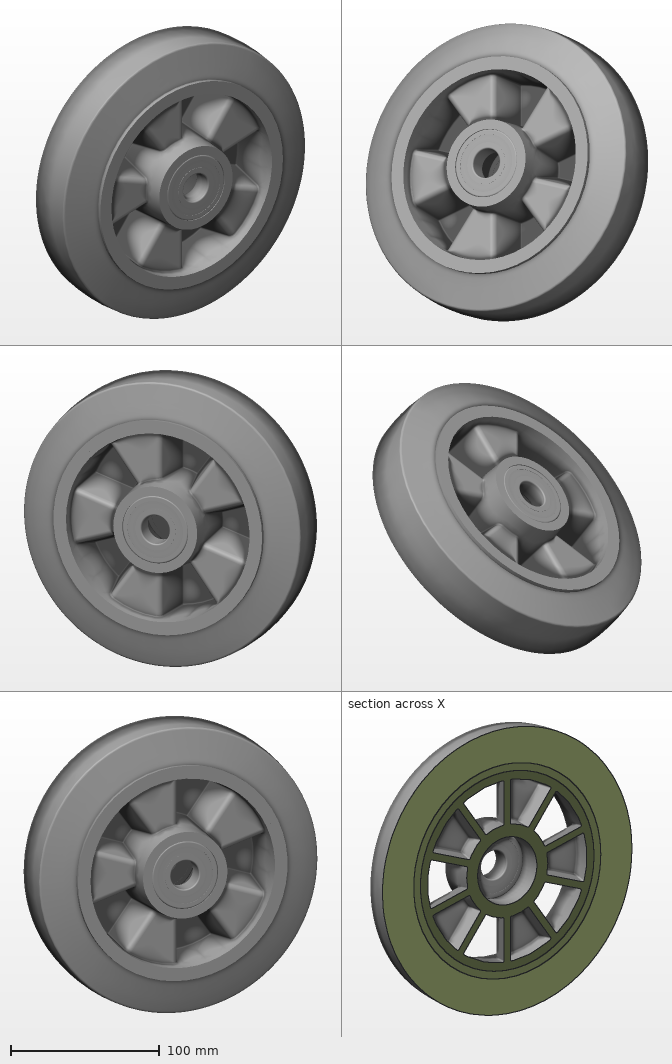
import cadquery as cq
import math

WHEEL_RADIUS = 100.0
HUB_WIDTH = 60.0
HALF_HUB = HUB_WIDTH / 2

CROWN_RADIUS = 120.0
SHOULDER_HALF_WIDTH = 16.5
SHOULDER_FILLET = 1.5
TREAD_BASE_HALF_WIDTH = 22.0

BAND_OUTER_RADIUS = 74.5
BAND_INNER_RADIUS = 69.2
RIM_WIDTH = 50.0
HALF_RIM = RIM_WIDTH / 2

HUB_FACE_RADIUS = 30.0
RIM_OPENING_RADIUS = 65.5
DRAFT_ANGLE = 5.0
WEB_FACE = 16.5
WEB_THICKNESS = 6.0
POCKET_FLOOR = WEB_FACE - WEB_THICKNESS
POCKET_COUNT = 5
PANEL_ANGLE = 360.0 / (2 * POCKET_COUNT)
PANEL_WALL_DRAFT = 13.0
PANEL_EDGE_SHIFT = 1.2
PANEL_EDGE_FILLET = 4.0
POCKET_FILLET = 1.0

BEARING_OUTER_RADIUS = 23.5
BEARING_BORE_RADIUS = 10.0
BEARING_WIDTH = 14.0
OUTER_RACE_INNER_RADIUS = 19.8
INNER_RACE_OUTER_RADIUS = 14.5
RACE_FILLET = 1.0
SHIELD_RECESS = 0.2


def ring(outer_radius, inner_radius, x_start, width):
    """Plain ring around the X axis, starting at x_start."""
    return cq.Workplane("YZ", origin=(x_start, 0, 0)).circle(outer_radius).circle(inner_radius).extrude(width)


def make_tread():
    """Crowned tread with tapered sides, revolved around the axle."""
    crown_drop = CROWN_RADIUS - math.sqrt(CROWN_RADIUS**2 - SHOULDER_HALF_WIDTH**2)
    shoulder_radius = WHEEL_RADIUS - crown_drop
    profile = (
        cq.Workplane("XY")
        .moveTo(-TREAD_BASE_HALF_WIDTH, BAND_OUTER_RADIUS)
        .lineTo(-SHOULDER_HALF_WIDTH, shoulder_radius)
        .threePointArc((0, WHEEL_RADIUS), (SHOULDER_HALF_WIDTH, shoulder_radius))
        .lineTo(TREAD_BASE_HALF_WIDTH, BAND_OUTER_RADIUS)
        .close()
    )
    tread = profile.revolve(360, (0, 0, 0), (1, 0, 0))
    shoulder_edges = cq.selectors.RadiusNthSelector(1)
    return tread.edges(shoulder_edges).fillet(SHOULDER_FILLET)


def make_band():
    """Base band between the tread and the rim."""
    return ring(BAND_OUTER_RADIUS, BAND_INNER_RADIUS, -HALF_RIM, RIM_WIDTH)


def make_panel():
    """Raised web panel beside the +Z axis, toward +Y: a drafted sector with rounded upper edges."""
    height = WEB_FACE + POCKET_FLOOR
    floor_edge_shift = PANEL_EDGE_SHIFT - height * math.tan(math.radians(PANEL_WALL_DRAFT))
    half_panel = (
        cq.Workplane("XY")
        .polyline([
            (POCKET_FLOOR, floor_edge_shift),
            (-WEB_FACE, PANEL_EDGE_SHIFT),
            (-WEB_FACE, BAND_OUTER_RADIUS),
            (POCKET_FLOOR, BAND_OUTER_RADIUS),
        ])
        .close()
        .extrude(BAND_OUTER_RADIUS)
    )
    half_panel = half_panel.faces("<X").edges("<Y").fillet(PANEL_EDGE_FILLET)
    mirrored_half = half_panel.mirror("XZ").rotate((0, 0, 0), (1, 0, 0), -PANEL_ANGLE)
    return half_panel.intersect(mirrored_half)


def make_pocket():
    """Space cut from the -X side of the wheel centre, around the raised panels."""
    slope = math.tan(math.radians(DRAFT_ANGLE))
    floor_hub_radius = HUB_FACE_RADIUS + slope * (HALF_HUB + POCKET_FLOOR)
    floor_rim_radius = RIM_OPENING_RADIUS - slope * (HALF_RIM + POCKET_FLOOR)
    mouth_rim_radius = RIM_OPENING_RADIUS + slope * (HALF_HUB - HALF_RIM)
    pocket = (
        cq.Workplane("XY")
        .polyline([
            (-HALF_HUB, HUB_FACE_RADIUS),
            (POCKET_FLOOR, floor_hub_radius),
            (POCKET_FLOOR, floor_rim_radius),
            (-HALF_HUB, mouth_rim_radius),
        ])
        .close()
        .revolve(360, (0, 0, 0), (1, 0, 0))
    )
    panel = make_panel()
    for index in range(POCKET_COUNT):
        pocket = pocket.cut(panel.rotate((0, 0, 0), (1, 0, 0), index * 360.0 / POCKET_COUNT))
    inner_edges = cq.selectors.BoxSelector(
        (-WEB_FACE - WEB_THICKNESS, -WHEEL_RADIUS, -WHEEL_RADIUS),
        (POCKET_FLOOR + WEB_THICKNESS, WHEEL_RADIUS, WHEEL_RADIUS),
    )
    return pocket.edges(inner_edges).fillet(POCKET_FILLET)


def make_wheel_centre():
    """Hub, web and rim in one piece, hollowed by a pocket from each side."""
    bore = BEARING_OUTER_RADIUS
    centre = ring(BAND_INNER_RADIUS, bore, -HALF_RIM, RIM_WIDTH)
    centre = centre.union(ring(RIM_OPENING_RADIUS, bore, -HALF_HUB, HUB_WIDTH))
    pocket = make_pocket()
    opposite_pocket = pocket.rotate((0, 0, 0), (0, 0, 1), 180)
    return centre.cut(pocket).cut(opposite_pocket)


def make_outer_race(x_start):
    """Outer bearing race with rounded outer corners."""
    race = ring(BEARING_OUTER_RADIUS, OUTER_RACE_INNER_RADIUS, x_start, BEARING_WIDTH)
    return race.edges(cq.selectors.RadiusNthSelector(-1)).fillet(RACE_FILLET)


def make_inner_race(x_start):
    """Inner bearing race with rounded bore corners."""
    race = ring(INNER_RACE_OUTER_RADIUS, BEARING_BORE_RADIUS, x_start, BEARING_WIDTH)
    return race.edges(cq.selectors.RadiusNthSelector(0)).fillet(RACE_FILLET)


def make_shield(x_start):
    """Sealed filling between the races, slightly recessed at both ends."""
    width = BEARING_WIDTH - 2 * SHIELD_RECESS
    return ring(OUTER_RACE_INNER_RADIUS, INNER_RACE_OUTER_RADIUS, x_start + SHIELD_RECESS, width)


tread = make_tread()
band = make_band()
wheel_centre = make_wheel_centre()

bearing_parts = []
for bearing_start in (-HALF_HUB, HALF_HUB - BEARING_WIDTH):
    bearing_parts.append(make_outer_race(bearing_start).val())
    bearing_parts.append(make_inner_race(bearing_start).val())
    bearing_parts.append(make_shield(bearing_start).val())

result = cq.Compound.makeCompound([tread.val(), band.val(), wheel_centre.val(), *bearing_parts])